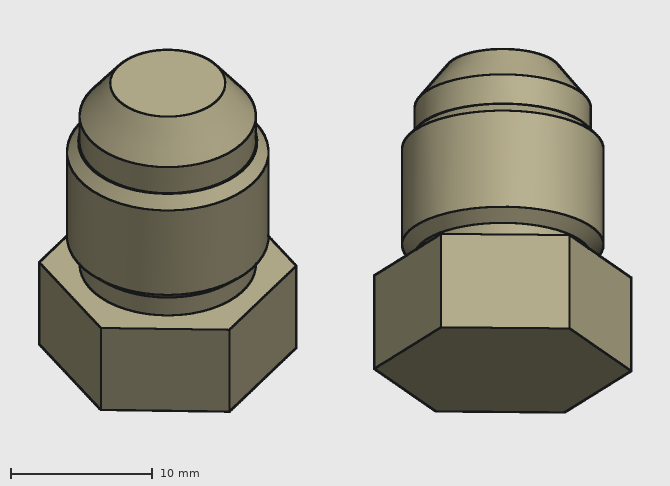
import cadquery as cq
import math

total_height = 22.85
across_flats = 15.75
across_corners = across_flats / math.cos(math.radians(30))
head_height = 7.13

neck_radius = 6.25
body_radius = 7.13
body_chamfer_height = 0.87
body_bottom_z = 8.69
body_top_z = 17.76
chamfer_top_radius = 6.33

nose_radius = neck_radius
tip_radius = 4.07
cone_height = 2.83


def make_head():
    """Hexagonal head with two corners on the X axis."""
    return cq.Workplane("XY").polygon(6, across_corners).extrude(head_height)


def make_turned_body():
    """Neck, chamfered body and conical nose, revolved about Z."""
    profile = [
        (0, 0),
        (neck_radius, 0),
        (neck_radius, body_bottom_z),
        (body_radius, body_bottom_z + body_chamfer_height),
        (body_radius, body_top_z - body_chamfer_height),
        (chamfer_top_radius, body_top_z),
        (nose_radius, body_top_z),
        (nose_radius, total_height - cone_height),
        (tip_radius, total_height),
        (0, total_height),
    ]
    return cq.Workplane("XZ").polyline(profile).close().revolve(360, (0, 0), (0, 1))


result = make_head().union(make_turned_body())